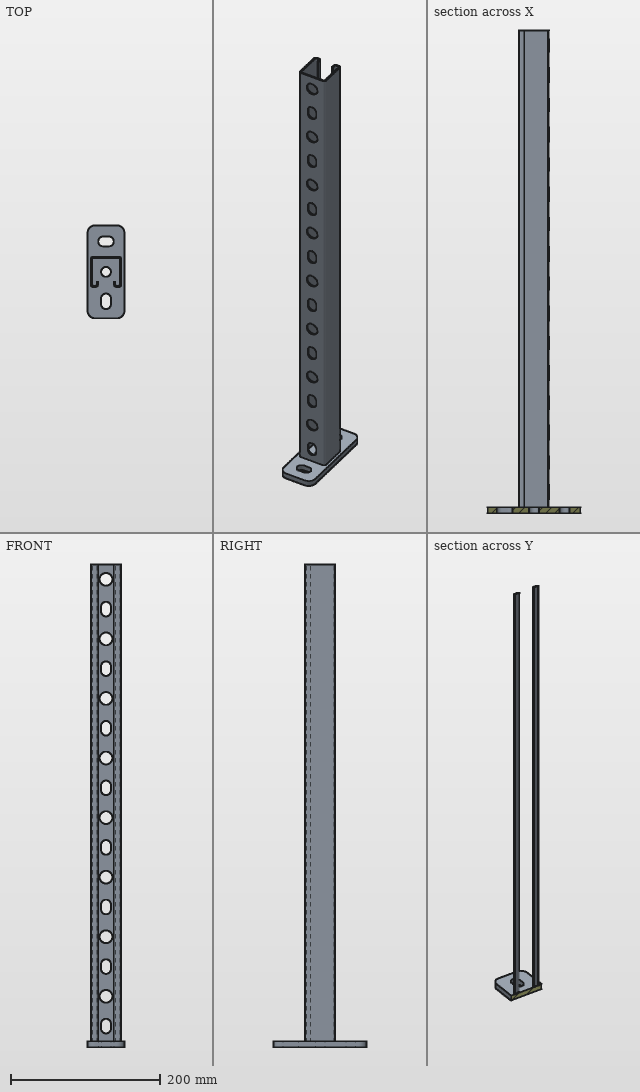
import cadquery as cq

total_height = 648.0

plate_width = 50.0
plate_length = 125.0
plate_thickness = 8.5
plate_corner_radius = 10.5
plate_hole_diameter = 13.0
plate_slot_length = 21.0
rear_slot_offset = 41.0
front_slot_offset = 39.5

rail_size = 41.0
rail_length = total_height - plate_thickness
wall = 2.0
outer_bend_radius = 3.0
inner_bend_radius = outer_bend_radius - wall
mouth_width = 21.5
lip_depth = 7.0

perforation_count = 16
perforation_pitch = rail_length / perforation_count
rail_hole_diameter = 17.0
rail_slot_width = 13.0
rail_slot_length = 19.5


def make_base_plate():
    """Plate with rounded corners, a round centre hole and one slot at each end."""
    plate = (
        cq.Workplane("XY")
        .rect(plate_width, plate_length)
        .extrude(plate_thickness)
        .edges("|Z")
        .fillet(plate_corner_radius)
    )
    centre_hole = cq.Workplane("XY").circle(plate_hole_diameter / 2).extrude(plate_thickness)
    rear_slot = make_plate_slot(rear_slot_offset, 0)
    front_slot = make_plate_slot(-front_slot_offset, 90)
    return plate.cut(centre_hole).cut(rear_slot).cut(front_slot).solids()


def make_plate_slot(y, angle):
    """Cutter for a plate slot centred at y; angle 0 runs along X and 90 along Y."""
    return (
        cq.Workplane("XY")
        .center(0, y)
        .slot2D(plate_slot_length, plate_hole_diameter, angle)
        .extrude(plate_thickness)
    )


def rail_block(x_min, x_max, y_min, y_max):
    """Block as tall as the rail over the given X and Y range."""
    return (
        cq.Workplane("XY", origin=(0, 0, plate_thickness))
        .moveTo(x_min, y_min)
        .lineTo(x_max, y_min)
        .lineTo(x_max, y_max)
        .lineTo(x_min, y_max)
        .close()
        .extrude(rail_length)
    )


def make_channel():
    """Bent-sheet C section whose two lips turn back into the channel beside the mouth."""
    outside = rail_size / 2
    inside = outside - wall
    mouth = mouth_width / 2
    lip_back = mouth + wall
    lip_end = -outside + lip_depth

    channel = rail_block(-outside, outside, -outside, outside).cut(
        rail_block(-mouth, mouth, -outside, inside)
    )
    channel = channel.edges("|Z and (<X or >X)").fillet(outer_bend_radius)
    mouth_rims = cq.selectors.BoxSelector(
        (-lip_back, -outside - wall, 0), (lip_back, -outside + wall / 2, total_height)
    )
    channel = channel.edges("|Z").edges(mouth_rims).fillet(outer_bend_radius)

    hollow = rail_block(-inside, inside, lip_end, inside).edges("|Z and >Y").fillet(inner_bend_radius)
    channel = channel.cut(hollow)
    for x_min, x_max in ((-inside, -lip_back), (lip_back, inside)):
        pocket = rail_block(x_min, x_max, -inside, lip_end).edges("|Z and <Y").fillet(inner_bend_radius)
        channel = channel.cut(pocket)
    return channel


def make_perforations():
    """Cutters through the back wall, evenly pitched up the rail and starting with a slot."""
    cutters = []
    for index in range(perforation_count):
        z = plate_thickness + (index + 0.5) * perforation_pitch
        outline = cq.Workplane("XZ").center(0, z)
        if index % 2 == 0:
            outline = outline.slot2D(rail_slot_length, rail_slot_width, 90)
        else:
            outline = outline.circle(rail_hole_diameter / 2)
        cutters.append(outline.extrude(-rail_size))
    return cutters


def make_rail():
    """Channel with its row of perforations."""
    rail = make_channel()
    for cutter in make_perforations():
        rail = rail.cut(cutter)
    return rail.solids()


base_plate = make_base_plate()
rail = make_rail()

result = cq.Compound.makeCompound([base_plate.val(), rail.val()])